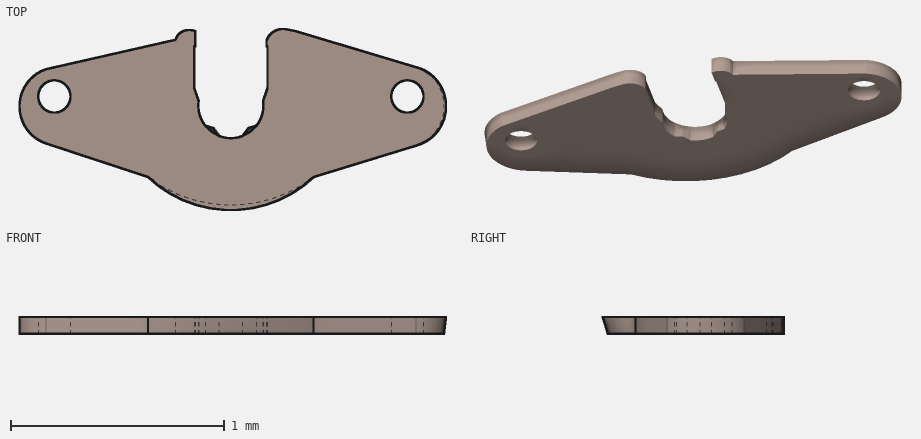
import cadquery as cq
import math

THICKNESS = 0.08

LEFT_END_LOW = (-0.865, -0.178)
LEFT_END_TIP = (-0.991, -0.002)
LEFT_END_HIGH = (-0.867, 0.171)
RIGHT_END_LOW = (0.868, -0.188)
RIGHT_END_TIP = (1.009, -0.002)
RIGHT_END_HIGH = (0.890, 0.174)
RIGHT_END_DRAFT = 0.010

BELLY_HALF_WIDTH = 0.388
BELLY_CORNER_Y = -0.335
BELLY_BOTTOM_Y = -0.490
BELLY_DRAFT = 0.024

HOLE_SPACING = 1.654
HOLE_Y = 0.043
HOLE_DIAMETER = 0.150

FLOOR_RADIUS = 0.152
FLOOR_TOP_Y = 0.022
SLOT_HALF_WIDTH = 0.171
SLOT_BOTTOM_Y = 0.082
MOUTH_HALF_WIDTH = 0.166
MOUTH_BOTTOM_Y = 0.278

HOOK_ROOT = (-0.260, 0.309)
HOOK_HEEL = (-0.250, 0.329)
HOOK_CREST = (-0.200, 0.355)
HOOK_TIP_Y = 0.349

CORNER_LOW_Y = 0.304
CORNER_MID = (0.205, 0.350)
CORNER_HIGH = (0.252, 0.360)
SHOULDER = (0.302, 0.350)

TOE_OUTER_ANGLE = 38
TOE_INNER_ANGLE = 69
TOE_TIP = (0.083, -0.104)
TOE_ROOT_RADIUS = 0.200


def floor_point(radius, degrees_below_x):
    """Point at a radius from the notch centre, measured clockwise from +X."""
    angle = math.radians(degrees_below_x)
    return (radius * math.cos(angle), -radius * math.sin(angle))


def make_plate():
    """Prism with straight chords where the belly and the right end are added."""
    floor_edge_x = math.sqrt(FLOOR_RADIUS**2 - FLOOR_TOP_Y**2)
    return (
        cq.Workplane("XY")
        .moveTo(-BELLY_HALF_WIDTH, BELLY_CORNER_Y)
        .lineTo(*LEFT_END_LOW)
        .threePointArc(LEFT_END_TIP, LEFT_END_HIGH)
        .lineTo(*HOOK_ROOT)
        .lineTo(*HOOK_HEEL)
        .threePointArc(HOOK_CREST, (-MOUTH_HALF_WIDTH, HOOK_TIP_Y))
        .lineTo(-MOUTH_HALF_WIDTH, MOUTH_BOTTOM_Y)
        .lineTo(-SLOT_HALF_WIDTH, MOUTH_BOTTOM_Y)
        .lineTo(-SLOT_HALF_WIDTH, SLOT_BOTTOM_Y)
        .lineTo(-floor_edge_x, FLOOR_TOP_Y)
        .threePointArc((0, -FLOOR_RADIUS), (floor_edge_x, FLOOR_TOP_Y))
        .lineTo(SLOT_HALF_WIDTH, SLOT_BOTTOM_Y)
        .lineTo(SLOT_HALF_WIDTH, MOUTH_BOTTOM_Y)
        .lineTo(MOUTH_HALF_WIDTH, MOUTH_BOTTOM_Y)
        .lineTo(MOUTH_HALF_WIDTH, CORNER_LOW_Y)
        .threePointArc(CORNER_MID, CORNER_HIGH)
        .lineTo(*SHOULDER)
        .lineTo(*RIGHT_END_HIGH)
        .lineTo(*RIGHT_END_LOW)
        .lineTo(BELLY_HALF_WIDTH, BELLY_CORNER_Y)
        .close()
        .extrude(THICKNESS)
    )


def make_drafted_segment(start, end, underside_apex, top_apex):
    """Circular segment on a fixed chord whose arc leans outward toward the top."""
    return (
        cq.Workplane("XY")
        .moveTo(*start)
        .threePointArc(underside_apex, end)
        .close()
        .workplane(offset=THICKNESS)
        .moveTo(*start)
        .threePointArc(top_apex, end)
        .close()
        .loft(ruled=True)
    )


def make_belly():
    return make_drafted_segment(
        (-BELLY_HALF_WIDTH, BELLY_CORNER_Y),
        (BELLY_HALF_WIDTH, BELLY_CORNER_Y),
        (0, BELLY_BOTTOM_Y + BELLY_DRAFT),
        (0, BELLY_BOTTOM_Y),
    )


def make_right_end():
    tip_x, tip_y = RIGHT_END_TIP
    return make_drafted_segment(
        RIGHT_END_LOW,
        RIGHT_END_HIGH,
        (tip_x - RIGHT_END_DRAFT, tip_y),
        RIGHT_END_TIP,
    )


def make_toe():
    """Right-hand toe, rooted inside the plate behind the notch floor."""
    middle_angle = (TOE_OUTER_ANGLE + TOE_INNER_ANGLE) / 2
    outer = floor_point(FLOOR_RADIUS, TOE_OUTER_ANGLE)
    inner = floor_point(FLOOR_RADIUS, TOE_INNER_ANGLE)
    root = floor_point(TOE_ROOT_RADIUS, middle_angle)
    faded_tip = floor_point(FLOOR_RADIUS, middle_angle)
    return (
        cq.Workplane("XY")
        .polyline([outer, TOE_TIP, inner, root])
        .close()
        .workplane(offset=THICKNESS)
        .polyline([outer, faded_tip, inner, root])
        .close()
        .loft(ruled=True)
    )


def make_holes():
    return (
        cq.Workplane("XY")
        .pushPoints([(side * HOLE_SPACING / 2, HOLE_Y) for side in (-1, 1)])
        .circle(HOLE_DIAMETER / 2)
        .extrude(THICKNESS)
    )


right_toe = make_toe()
left_toe = right_toe.mirror("YZ")

result = make_plate().union(make_belly()).union(make_right_end())
result = result.union(right_toe).union(left_toe)
result = result.cut(make_holes())